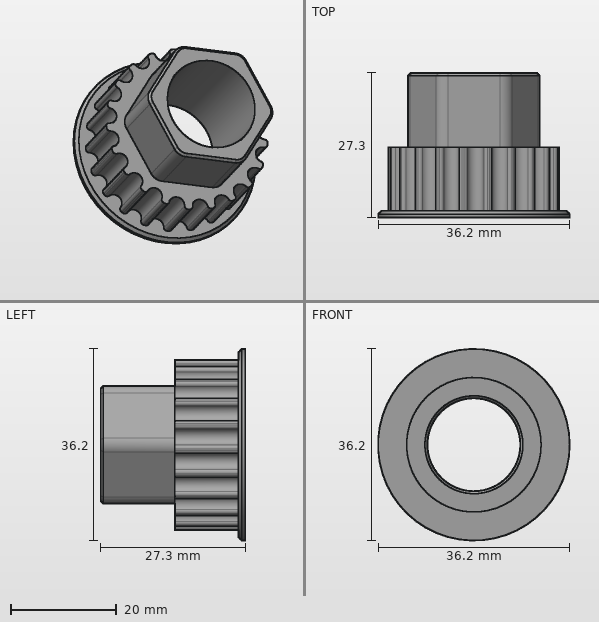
import cadquery as cq
import math


flange_thickness = 1.3
rim_length = 12.0
hub_length = 14.0
rim_start = flange_thickness
hub_start = rim_start + rim_length
total_length = hub_start + hub_length

flange_diameter = 36.22
flange_chamfer = 0.65

tooth_count = 21
rim_diameter = 32.28
groove_radius = 1.525
groove_depth = 2.06
crest_fillet = 0.64
tooth_phase = 11.7

hub_sides = 6
hub_across_flats = 22.25
hub_corner_fillet = 2.6
hub_end_chamfer = 0.5

bore_diameter = 17.5
bore_chamfer = 0.5
recess_diameter = 25.4
recess_depth = 2.3


def plane_at(y):
    """Sketch plane across the axis: local x is X, local y is Z, normal is -Y."""
    return cq.Workplane("XZ", origin=(0, y, 0))


def make_flange():
    disc = plane_at(0).circle(flange_diameter / 2).extrude(-flange_thickness)
    return disc.faces(">Y").chamfer(flange_chamfer)


def make_rim():
    """Toothed rim: round grooves that blend into rounded tooth crests."""
    rim_radius = rim_diameter / 2
    root_radius = rim_radius - groove_depth
    groove_centre = root_radius + groove_radius

    fillet_distance = rim_radius - crest_fillet
    centre_gap = groove_radius + crest_fillet
    fillet_x = (groove_centre ** 2 + fillet_distance ** 2 - centre_gap ** 2) / (2 * groove_centre)
    fillet_y = math.sqrt(fillet_distance ** 2 - fillet_x ** 2)
    crest_angle = math.atan2(fillet_y, fillet_x)
    blend_angle = math.atan2(-fillet_y, groove_centre - fillet_x)
    middle_angle = (crest_angle + blend_angle) / 2

    def rim_point(angle):
        return rim_radius * math.cos(angle), rim_radius * math.sin(angle)

    def fillet_point(angle, side, groove_angle):
        """Point of the crest fillet on one side (+1 or -1) of the groove at groove_angle."""
        x = fillet_x + crest_fillet * math.cos(angle)
        y = side * (fillet_y + crest_fillet * math.sin(angle))
        return (
            x * math.cos(groove_angle) - y * math.sin(groove_angle),
            x * math.sin(groove_angle) + y * math.cos(groove_angle),
        )

    tooth_pitch = 2 * math.pi / tooth_count
    first_groove = math.radians(tooth_phase) + tooth_pitch / 2
    outline = plane_at(rim_start).moveTo(*rim_point(first_groove - crest_angle))
    for i in range(tooth_count):
        groove = first_groove + i * tooth_pitch
        root_point = (root_radius * math.cos(groove), root_radius * math.sin(groove))
        outline = (
            outline
            .threePointArc(fillet_point(middle_angle, -1, groove), fillet_point(blend_angle, -1, groove))
            .threePointArc(root_point, fillet_point(blend_angle, 1, groove))
            .threePointArc(fillet_point(middle_angle, 1, groove), rim_point(groove + crest_angle))
            .threePointArc(rim_point(groove + tooth_pitch / 2), rim_point(groove + tooth_pitch - crest_angle))
        )
    return outline.close().extrude(-rim_length)


def make_hub():
    across_corners = hub_across_flats / math.cos(math.pi / hub_sides)
    hub = plane_at(hub_start).polygon(hub_sides, across_corners).extrude(-hub_length)
    hub = hub.edges("|Y").fillet(hub_corner_fillet)
    return hub.faces(">Y").chamfer(hub_end_chamfer)


def make_bore():
    """Through bore, chamfered where it opens into the recess."""
    bore_radius = bore_diameter / 2
    bore = plane_at(0).circle(bore_radius).extrude(-total_length)
    recess = plane_at(0).circle(recess_diameter / 2).extrude(-recess_depth)
    chamfer = cq.Workplane("XY").polyline([
        (0, recess_depth),
        (bore_radius + bore_chamfer, recess_depth),
        (bore_radius, recess_depth + bore_chamfer),
        (0, recess_depth + bore_chamfer),
    ]).close().revolve(360, (0, 0, 0), (0, 1, 0))
    return bore.union(recess).union(chamfer)


result = make_flange().union(make_rim()).union(make_hub()).cut(make_bore())